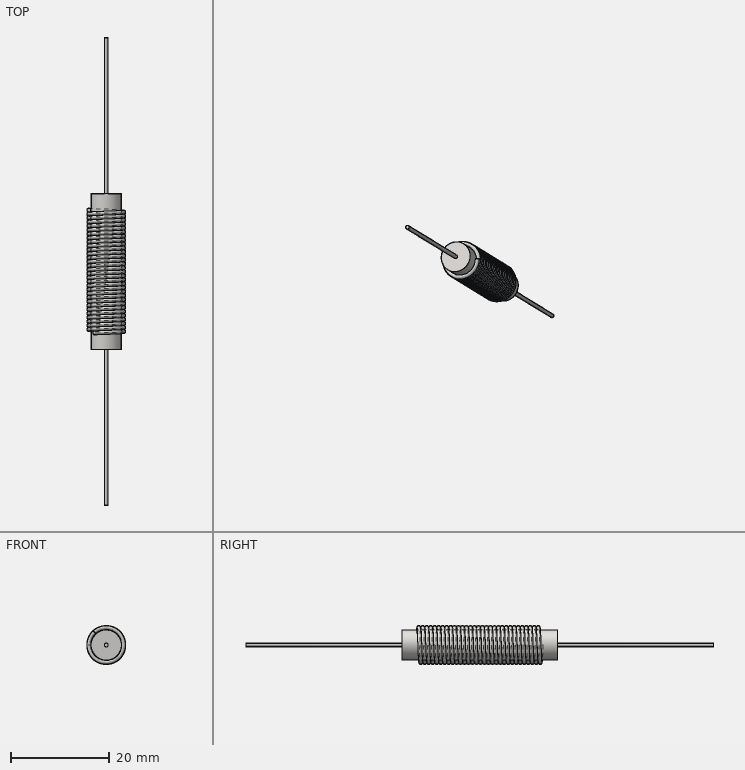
import cadquery as cq


overall_length = 95.25
core_length = overall_length / 3
core_diameter = 6.2
lead_diameter = 0.8

coil_outer_diameter = 7.9
wire_diameter = 0.8
coil_pitch = 0.81
full_turns = 30
last_turn_angle = 313.0
full_circle = 360.0

coil_turns = full_turns + last_turn_angle / full_circle
coil_height = coil_pitch * coil_turns
coil_radius = (coil_outer_diameter - wire_diameter) / 2


def cylinder_along_y(diameter, length):
    """Cylinder on the Y axis, centred on the origin."""
    return cq.Workplane("XZ").circle(diameter / 2).extrude(length / 2, both=True)


def make_leaded_core():
    """Round core with a thin lead standing out of the middle of each end face."""
    core = cylinder_along_y(core_diameter, core_length)
    leads = cylinder_along_y(lead_diameter, overall_length)
    return core.union(leads).solids()


def make_coil():
    """Right-handed winding of round wire, centred along the core.

    It starts on the -X side at its +Y end, runs down first, and advances towards -Y.
    """
    helix = cq.Wire.makeHelix(coil_pitch, coil_height, coil_radius)
    wire_section = cq.Plane(
        origin=helix.startPoint().toTuple(),
        xDir=(1, 0, 0),
        normal=helix.tangentAt(0).toTuple(),
    )
    winding = cq.Workplane(wire_section).circle(wire_diameter / 2).sweep(helix, isFrenet=True)
    coil_start = cq.Plane(origin=(0, coil_height / 2, 0), xDir=(-1, 0, 0), normal=(0, -1, 0))
    return winding.val().moved(cq.Location(coil_start))


leaded_core = make_leaded_core()
coil = make_coil()

result = cq.Compound.makeCompound([leaded_core.val(), coil])